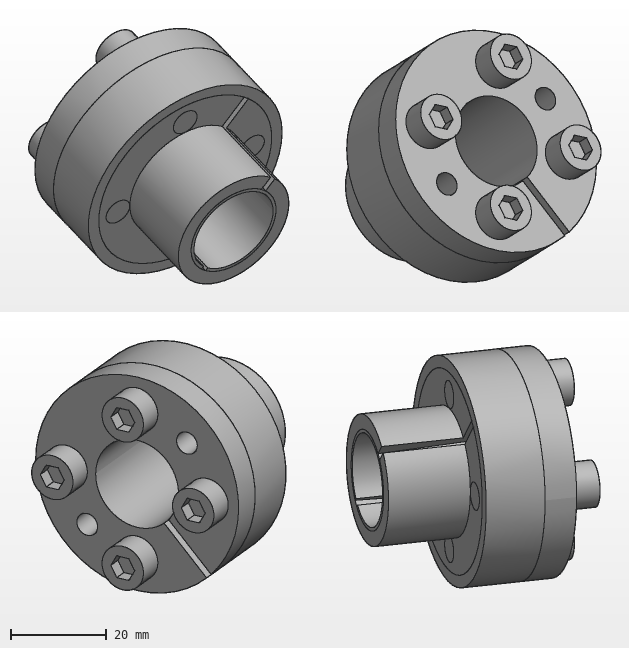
import cadquery as cq
import math


outer_diameter = 49.0
sleeve_diameter = 28.0
bore_diameter = 20.0

head_height = 6.05
front_flange_thickness = 6.95
rear_flange_thickness = 13.0
sleeve_length = 18.05

seat_x = 0.0
joint_x = seat_x + front_flange_thickness
shoulder_x = joint_x + rear_flange_thickness
end_x = shoulder_x + sleeve_length

taper_large_diameter = 25.85
taper_small_diameter = 21.45

slit_width = 1.5
inner_slit_angle = 225.0
outer_slit_angle = 45.0

rear_flange_diameter = 43.7

pitch_radius = 17.0
screw_angles = [0.0, 90.0, 180.0, 270.0]
forcing_hole_angles = [135.0, 315.0]
head_diameter = 10.0
shank_diameter = 6.0
shank_length = front_flange_thickness + rear_flange_thickness
hex_across_flats = 5.0
hex_depth = 3.0
forcing_hole_diameter = 5.0


def cylinder(start_x, stop_x, diameter):
    """Solid cylinder on the X axis between two stations."""
    return cq.Workplane("YZ", origin=(start_x, 0, 0)).circle(diameter / 2).extrude(stop_x - start_x)


def taper():
    """Solid cone filling the fit between the sleeves, narrowing towards +X."""
    return (
        cq.Workplane("XY")
        .moveTo(joint_x, 0)
        .lineTo(joint_x, taper_large_diameter / 2)
        .lineTo(end_x, taper_small_diameter / 2)
        .lineTo(end_x, 0)
        .close()
        .revolve(360, (0, 0, 0), (1, 0, 0))
    )


def slit(angle):
    """Thin full-length slab from the axis to the outside at the given angle."""
    length = end_x - seat_x
    reach = outer_diameter
    slab = cq.Workplane("XY").box(length, reach, slit_width, centered=(False, False, True))
    return slab.translate((seat_x, 0, 0)).rotate((0, 0, 0), (1, 0, 0), angle)


def pitch_point(angle):
    """Y and Z of a point on the pitch circle."""
    turn = math.radians(angle)
    return pitch_radius * math.cos(turn), pitch_radius * math.sin(turn)


def flange_holes(angles, diameter, start_x, stop_x):
    """Cylinders to cut from a flange at the given pitch circle angles."""
    points = [pitch_point(angle) for angle in angles]
    holes = cq.Workplane("YZ", origin=(start_x, 0, 0)).pushPoints(points)
    return holes.circle(diameter / 2).extrude(stop_x - start_x)


def make_inner_sleeve():
    """Front flange with a tapered sleeve, bored through and slit on one side."""
    body = cylinder(seat_x, joint_x, outer_diameter).union(taper())
    body = body.cut(cylinder(seat_x, end_x, bore_diameter))
    body = body.cut(flange_holes(screw_angles, shank_diameter, seat_x, joint_x))
    body = body.cut(flange_holes(forcing_hole_angles, forcing_hole_diameter, seat_x, joint_x))
    return body.cut(slit(inner_slit_angle))


def make_outer_sleeve():
    """Rear flange and plain sleeve with a tapered bore, slit on one side."""
    flange = cylinder(joint_x, shoulder_x, rear_flange_diameter)
    body = flange.union(cylinder(shoulder_x, end_x, sleeve_diameter))
    body = body.cut(taper())
    body = body.cut(flange_holes(screw_angles, shank_diameter, joint_x, shoulder_x))
    return body.cut(slit(outer_slit_angle))


def make_closed_ring():
    """Plain ring around the rear flange."""
    ring = cylinder(joint_x, shoulder_x, outer_diameter)
    return ring.cut(cylinder(joint_x, shoulder_x, rear_flange_diameter))


def make_screw(angle):
    """Socket head screw on the pitch circle, its head seated on the front flange."""
    hex_corner_diameter = hex_across_flats / math.cos(math.pi / 6)
    head = cylinder(seat_x - head_height, seat_x, head_diameter)
    shank = cylinder(seat_x, seat_x + shank_length, shank_diameter)
    socket = (
        cq.Workplane("YZ", origin=(seat_x - head_height, 0, 0))
        .polygon(6, hex_corner_diameter)
        .extrude(hex_depth)
    )
    y, z = pitch_point(angle)
    return head.union(shank).cut(socket).translate((0, y, z))


inner_sleeve = make_inner_sleeve()
outer_sleeve = make_outer_sleeve()
closed_ring = make_closed_ring()
screws = [make_screw(angle) for angle in screw_angles]

result = cq.Compound.makeCompound(
    [
        inner_sleeve.val(),
        outer_sleeve.val(),
        closed_ring.val(),
        *[screw.val() for screw in screws],
    ]
)